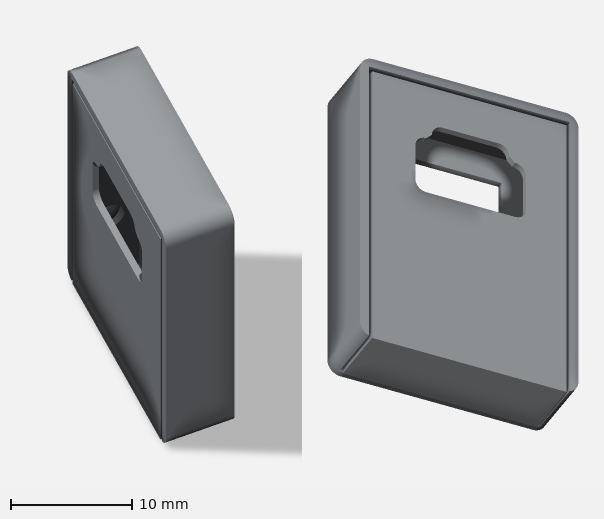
import cadquery as cq
import math

width = 19.94
depth = 6.2
height = 28.15
lid_overhang = 0.1

wall = 0.8
housing_top_wall = 0.85
plate = 0.6
corner_radius = 1.2
side_gap = 0.3
top_gap = 0.4

opening_left = -4.5
opening_bottom = 16.7
opening_width = 10.15
opening_height = 6.95

window_center_x = 0.13
window_bottom = 16.22
window_width = 10.1
window_height = 6.95
window_radius = 1.0
shoulder_step = 1.5

bump_diameter = 3.5
bump_reach = side_gap + wall
bump_z = 8.42
snap_hole_diameter = 3.0

cavity_half_width = width / 2 - wall
cavity_depth = depth - plate
cavity_top = height - housing_top_wall
lid_width = 2 * (cavity_half_width - side_gap)
lid_height = cavity_top - top_gap
bump_y = cavity_depth / 2


def block(x_size, y_start, y_end, z_start, z_end):
    """Box centred on X = 0 between the given Y and Z limits."""
    box = cq.Workplane("XY").box(x_size, y_end - y_start, z_end - z_start, centered=(True, False, False))
    return box.translate((0, y_start, z_start))


def snap_bump():
    """Spherical cap on the inner face of the +X side wall, rooted halfway into the wall."""
    radius = bump_diameter / 2
    root = wall / 2
    chord = radius - bump_reach - root
    root_radius = math.sqrt(radius ** 2 - chord ** 2)
    half_angle = math.acos(chord / radius) / 2
    arc_middle = (-radius * math.cos(half_angle), radius * math.sin(half_angle))
    cap = (
        cq.Workplane("XY")
        .moveTo(-radius, 0)
        .threePointArc(arc_middle, (-chord, root_radius))
        .lineTo(-chord, 0)
        .close()
        .revolve(360, (0, 0, 0), (1, 0, 0))
    )
    center_x = cavity_half_width - bump_reach + radius
    return cap.translate((center_x, bump_y, bump_z))


def make_housing():
    """Shallow case, open at the front and at the bottom."""
    case = block(width, 0, depth, lid_overhang, height).edges("|Y").fillet(corner_radius)
    case = case.cut(block(2 * cavity_half_width, 0, cavity_depth, 0, cavity_top))

    opening = cq.Workplane("XY").box(opening_width, plate, opening_height, centered=False)
    case = case.cut(opening.translate((opening_left, cavity_depth, opening_bottom)))

    bump = snap_bump()
    return case.union(bump).union(bump.mirror("YZ"))


def window_cutter():
    """Window with rounded corners; each upper shoulder is two quarter arcs joined by a 45 degree flat."""
    r = window_radius
    diagonal = r * math.sqrt(0.5)
    side_x = window_width / 2
    top = window_bottom + window_height
    low_x = side_x - r
    high_x = low_x - shoulder_step
    corner_z = window_bottom + r
    high_z = top - r
    low_z = high_z - shoulder_step

    right_half = (
        cq.Workplane("XZ")
        .moveTo(0, window_bottom)
        .lineTo(low_x, window_bottom)
        .threePointArc((low_x + diagonal, corner_z - diagonal), (side_x, corner_z))
        .lineTo(side_x, low_z)
        .threePointArc((low_x + diagonal, low_z + diagonal), (low_x, low_z + r))
        .lineTo(high_x + r, high_z)
        .threePointArc((high_x + diagonal, high_z + diagonal), (high_x, top))
        .lineTo(0, top)
        .close()
        .extrude(-plate)
    )
    return right_half.union(right_half.mirror("YZ")).translate((window_center_x, 0, 0))


def make_lid():
    """Tray with a windowed front plate, four walls and an open back."""
    tray = block(lid_width, 0, cavity_depth, 0, lid_height)
    tray = tray.cut(block(lid_width - 2 * wall, plate, cavity_depth, wall, lid_height - wall))
    tray = tray.cut(window_cutter())
    snap_holes = (
        cq.Workplane("YZ")
        .center(bump_y, bump_z)
        .circle(snap_hole_diameter / 2)
        .extrude(lid_width / 2, both=True)
    )
    return tray.cut(snap_holes)


housing = make_housing()
lid = make_lid()

result = cq.Compound.makeCompound([housing.val(), lid.val()])